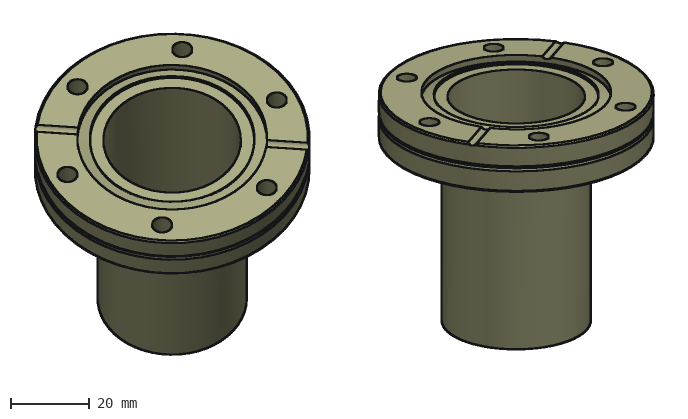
import cadquery as cq
import math

flange_radius = 34.95
flange_thickness = 12.85
total_height = 63.0
tube_radius = 19.0
bore_radius = 17.5
rim_chamfer = 0.5

rim_groove_center_depth = 6.3
rim_groove_half_width = 0.7
rim_groove_depth = 0.35

recess_radius = 24.1
recess_depth = 1.8
knife_radius = 21.0
knife_slope = math.radians(20)
inner_floor_radius = 20.8
inner_floor_depth = 1.2
knife_tip_depth = recess_depth - (recess_radius - knife_radius) * math.tan(knife_slope)

bolt_count = 6
bolt_circle_radius = 29.35
bolt_hole_diameter = 5.0

leak_groove_width = 2.3
leak_groove_depth = 0.6
leak_groove_angles = (30, 210)
leak_groove_radius = ((leak_groove_width / 2) ** 2 + leak_groove_depth ** 2) / (2 * leak_groove_depth)


def make_body():
    """Revolve the tube and flange, including the bore, recess and rim groove."""
    profile = [
        (bore_radius, -total_height),
        (tube_radius, -total_height),
        (tube_radius, -flange_thickness),
        (flange_radius - rim_chamfer, -flange_thickness),
        (flange_radius, -flange_thickness + rim_chamfer),
        (flange_radius, -rim_groove_center_depth - rim_groove_half_width),
        (flange_radius - rim_groove_depth, -rim_groove_center_depth),
        (flange_radius, -rim_groove_center_depth + rim_groove_half_width),
        (flange_radius, -rim_chamfer),
        (flange_radius - rim_chamfer, 0),
        (recess_radius, 0),
        (recess_radius, -recess_depth),
        (knife_radius, -knife_tip_depth),
        (inner_floor_radius, -inner_floor_depth),
        (bore_radius, -inner_floor_depth),
    ]
    return cq.Workplane("XZ").polyline(profile).close().revolve(360, (0, 0, 0), (0, 1, 0))


def make_bolt_holes():
    return (
        cq.Workplane("XY")
        .polarArray(bolt_circle_radius, 0, 360, bolt_count)
        .circle(bolt_hole_diameter / 2)
        .extrude(-flange_thickness)
    )


def make_leak_groove(angle):
    """Cylinder running outward from inside the recess, clear of the knife edge."""
    start = (knife_radius + recess_radius) / 2
    axis_height = leak_groove_radius - leak_groove_depth
    return (
        cq.Workplane("YZ", origin=(start, 0, axis_height))
        .circle(leak_groove_radius)
        .extrude(flange_radius)
        .rotate((0, 0, 0), (0, 0, 1), angle)
    )


result = make_body().cut(make_bolt_holes())
for groove_angle in leak_groove_angles:
    result = result.cut(make_leak_groove(groove_angle))